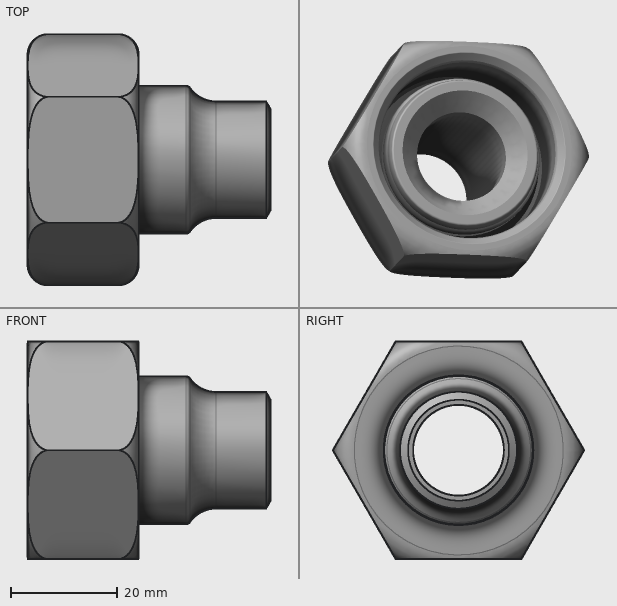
import cadquery as cq
import math


TOTAL_LENGTH = 45.8
NIPPLE_START = 4.15
FACE_RADIUS = 13.98
NOSE_FILLET = 0.4
SEAL_HALF_ANGLE = math.radians(12)
COLLAR_RADIUS = 32.4 / 2
COLLAR_LENGTH = 1.0
BODY_RADIUS = 27.92 / 2
TUBE_RADIUS = 22.0 / 2
BORE_RADIUS = 17.05 / 2
ENTRY_RADIUS = 12.0
NECK_END = 35.5
NECK_RADIUS = 6.0
NECK_ROUND = 1.0
END_BEVEL_HEIGHT = 1.5
END_BEVEL_LENGTH = END_BEVEL_HEIGHT * math.tan(math.radians(30))

RING_SECTION_RADIUS = 1.0
RING_CENTRE_RADIUS = 14.0
GROOVE_START = NIPPLE_START + 2.0
GROOVE_WIDTH = 3.0
GROOVE_FLOOR_RADIUS = RING_CENTRE_RADIUS - RING_SECTION_RADIUS
RING_CENTRE_X = GROOVE_START + GROOVE_WIDTH / 2

NUT_LENGTH = 21.0
ACROSS_FLATS = 41.0
CORNER_RADIUS = ACROSS_FLATS / math.sqrt(3)
CORNER_ROUND = 4.0
THREAD_RADIUS = 33.8 / 2
NUT_BORE_RADIUS = 28.24 / 2
MOUTH_RADIUS = 18.417
MOUTH_DEPTH = MOUTH_RADIUS - THREAD_RADIUS
MOUTH_EDGE_ROUND = 0.2
MOUTH_INNER_ROUND = 1.0

COLLAR_START = NIPPLE_START + (COLLAR_RADIUS - FACE_RADIUS) / math.tan(SEAL_HALF_ANGLE)
COLLAR_END = COLLAR_START + COLLAR_LENGTH
SHOULDER_START = COLLAR_END - (THREAD_RADIUS - COLLAR_RADIUS)
SHOULDER_END = SHOULDER_START + THREAD_RADIUS - NUT_BORE_RADIUS

TOLERANCE = 0.001
AXIS_START = (0, 0, 0)
AXIS_END = (1, 0, 0)


def revolve_profile(profile):
    """Turn a closed (X, radius) profile around the X axis."""
    return profile.close().revolve(360, AXIS_START, AXIS_END)


def round_ring_edge(body, x, radius, fillet):
    """Fillet the full-circle edge of a turned body at one X place and radius."""
    rings = [
        edge
        for edge in body.edges("%CIRCLE").vals()
        if abs(edge.Center().x - x) < TOLERANCE and abs(edge.radius() - radius) < TOLERANCE
    ]
    return cq.Workplane(body.val().fillet(fillet, rings))


def make_nut():
    hexagon = (
        cq.Workplane("YZ")
        .polygon(6, 2 * CORNER_RADIUS)
        .extrude(NUT_LENGTH)
    )
    rounding = (
        cq.Workplane("YZ")
        .circle(CORNER_RADIUS)
        .extrude(NUT_LENGTH)
        .edges("%CIRCLE")
        .fillet(CORNER_ROUND)
    )
    bore = revolve_profile(
        cq.Workplane("XY")
        .lineTo(0, MOUTH_RADIUS)
        .lineTo(MOUTH_DEPTH, THREAD_RADIUS)
        .lineTo(SHOULDER_START, THREAD_RADIUS)
        .lineTo(SHOULDER_END, NUT_BORE_RADIUS)
        .lineTo(NUT_LENGTH, NUT_BORE_RADIUS)
        .lineTo(NUT_LENGTH, 0)
    )
    nut = hexagon.intersect(rounding).cut(bore)
    nut = round_ring_edge(nut, 0, MOUTH_RADIUS, MOUTH_EDGE_ROUND)
    return round_ring_edge(nut, MOUTH_DEPTH, THREAD_RADIUS, MOUTH_INNER_ROUND)


def make_nipple():
    round_centre_radius = BODY_RADIUS - NECK_ROUND
    neck_centre_radius = TUBE_RADIUS + NECK_RADIUS
    centre_distance = NECK_RADIUS + NECK_ROUND
    centre_rise = neck_centre_radius - round_centre_radius
    neck_angle = math.acos(centre_rise / centre_distance)
    round_start = NECK_END - centre_distance * math.sin(neck_angle)

    def on_round(angle):
        return (
            round_start + NECK_ROUND * math.sin(angle),
            round_centre_radius + NECK_ROUND * math.cos(angle),
        )

    def on_neck(angle):
        return (
            NECK_END - NECK_RADIUS * math.sin(angle),
            neck_centre_radius - NECK_RADIUS * math.cos(angle),
        )

    blank = revolve_profile(
        cq.Workplane("XY")
        .moveTo(NIPPLE_START, ENTRY_RADIUS)
        .lineTo(NIPPLE_START, FACE_RADIUS)
        .lineTo(COLLAR_START, COLLAR_RADIUS)
        .lineTo(COLLAR_END, COLLAR_RADIUS)
        .lineTo(COLLAR_END + COLLAR_RADIUS - BODY_RADIUS, BODY_RADIUS)
        .lineTo(round_start, BODY_RADIUS)
        .threePointArc(on_round(neck_angle / 2), on_round(neck_angle))
        .threePointArc(on_neck(neck_angle / 2), on_neck(0))
        .lineTo(TOTAL_LENGTH - END_BEVEL_LENGTH, TUBE_RADIUS)
        .lineTo(TOTAL_LENGTH, TUBE_RADIUS - END_BEVEL_HEIGHT)
        .lineTo(TOTAL_LENGTH, BORE_RADIUS)
        .lineTo(NIPPLE_START + ENTRY_RADIUS - BORE_RADIUS, BORE_RADIUS)
    )
    blank = round_ring_edge(blank, NIPPLE_START, FACE_RADIUS, NOSE_FILLET)
    groove = (
        cq.Workplane("YZ")
        .workplane(offset=GROOVE_START)
        .circle(COLLAR_RADIUS)
        .circle(GROOVE_FLOOR_RADIUS)
        .extrude(GROOVE_WIDTH)
    )
    return blank.cut(groove)


def make_o_ring():
    return (
        cq.Workplane("XY")
        .center(RING_CENTRE_X, RING_CENTRE_RADIUS)
        .circle(RING_SECTION_RADIUS)
        .revolve(360, (0, -RING_CENTRE_RADIUS, 0), (1, -RING_CENTRE_RADIUS, 0))
    )


nut = make_nut()
nipple = make_nipple()
o_ring = make_o_ring()
result = cq.Compound.makeCompound([nut.solids().val(), nipple.solids().val(), o_ring.val()])